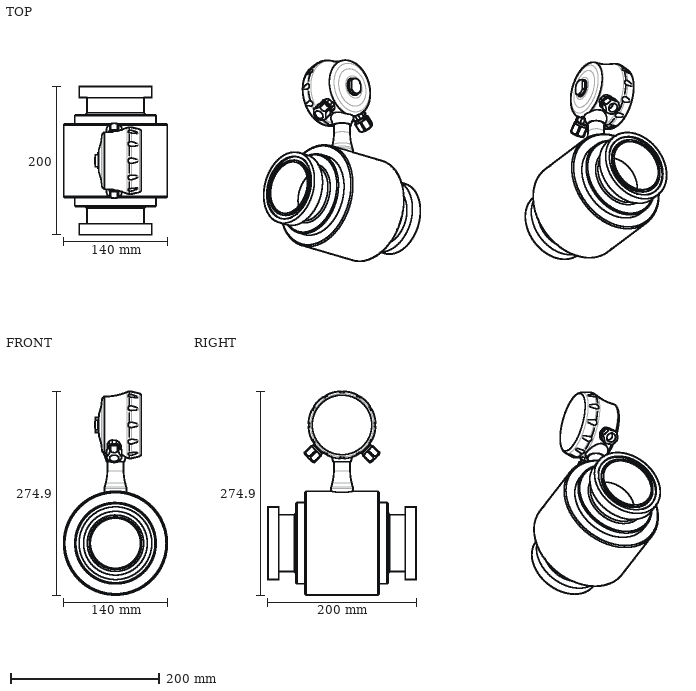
import cadquery as cq
import math

BODY_DIAMETER = 140.0
BODY_HALF_LENGTH = 50.0
BODY_CHAMFER = 2.0
SHOULDER_DIAMETER = 110.0
SHOULDER_END = 62.0
SHOULDER_CHAMFER = 1.6
NECK_DIAMETER = 77.0
NECK_FOOT_DIAMETER = 81.3
NECK_FOOT_LENGTH = 2.2
FLANGE_DIAMETER = 98.0
FLANGE_THICKNESS = 15.0
TUBE_LENGTH = 200.0

BORE_MOUTH_DIAMETER = 71.0
BORE_FLOOR_DIAMETER = 67.5
GROOVE_OUTER_DIAMETER = 86.0
GROOVE_INNER_DIAMETER = 76.0
GROOVE_DEPTH = 2.2

STEM_DIAMETER = 22.0
STEM_BASE_DIAMETER = 30.0
STEM_BASE_TOP = 74.0
STEM_CONE_BOTTOM = 76.5
STEM_CONE_TOP = 81.3
STEM_CONE_BOTTOM_DIAMETER = 28.9
STEM_CONE_TOP_DIAMETER = 26.5
STEM_WAIST_BOTTOM = 97.8
STEM_FLARE_BOTTOM = 109.5
STEM_FLARE_DIAMETER = 23.5
STEM_TOP = 123.6
STEM_TOP_DIAMETER = 33.5

HEAD_HEIGHT = 159.5
BACK_BOSS_X = -22.3
BACK_BOSS_DIAMETER = 30.8
BACK_CONE_X = -19.2
BACK_CONE_DIAMETER = 51.7
BACK_RIM_X = -18.5
BACK_RIM_DIAMETER = 67.0
SHELL_BAND_X = -14.8
SHELL_DIAMETER = 77.0
SHELL_FLARE_X = -13.5
SHELL_END_X = 15.5
SHELL_END_DIAMETER = 88.8
CAP_CREST_START_X = 18.7
CAP_CREST_END_X = 21.2
CAP_DIAMETER = 91.0
CAP_TAPER_END_X = 32.0
CAP_TAPER_END_DIAMETER = 85.2
CAP_FACE_X = 35.0
CAP_ROUND = 2.5

NOTCH_COUNT = 12
NOTCH_RADIUS = 7.5
NOTCH_START_X = 17.0
NOTCH_START_DIAMETER = 89.8
NOTCH_END_X = 31.5
NOTCH_END_DIAMETER = 85.5

KNOB_FOOT_DIAMETER = 23.5
KNOB_FOOT_X = -23.0
KNOB_FLATS_X = -23.5
KNOB_DIAMETER = 21.0
KNOB_FACE_X = -27.0
KNOB_TIP_X = -28.0
KNOB_FLATS = 16.8

GLAND_X = -1.6
GLAND_ANGLE = 45.0
GLAND_NUT_START = 30.2
GLAND_NUT_END = 45.0
GLAND_NUT_FLATS = 18.5
GLAND_NUT_DIAMETER = 19.2
GLAND_COLLAR_END = 46.2
GLAND_COLLAR_DIAMETER = 16.8
GLAND_NECK_DIAMETER = 16.0
GLAND_CAP_START = 49.2
GLAND_CAP_END = 63.5
GLAND_CAP_FLATS = 19.0
GLAND_CAP_DIAMETER = 21.0
GLAND_CAP_ROUND = 3.8
GLAND_HOLE_DIAMETER = 12.0


def flow_tube():
    half_length = TUBE_LENGTH / 2
    neck_radius = NECK_DIAMETER / 2
    flange_radius = FLANGE_DIAMETER / 2
    flange_start = half_length - FLANGE_THICKNESS
    body_radius = BODY_DIAMETER / 2
    shoulder_radius = SHOULDER_DIAMETER / 2
    half_outline = [
        (body_radius, BODY_HALF_LENGTH - BODY_CHAMFER),
        (body_radius - BODY_CHAMFER, BODY_HALF_LENGTH),
        (shoulder_radius, BODY_HALF_LENGTH),
        (shoulder_radius, SHOULDER_END - SHOULDER_CHAMFER),
        (shoulder_radius - SHOULDER_CHAMFER, SHOULDER_END),
        (NECK_FOOT_DIAMETER / 2, SHOULDER_END),
        (neck_radius, SHOULDER_END + NECK_FOOT_LENGTH),
        (neck_radius, flange_start),
        (flange_radius, flange_start),
        (flange_radius, half_length),
        (0, half_length),
    ]
    mirrored_outline = [(radius, -y) for radius, y in reversed(half_outline)]
    tube = (
        cq.Workplane("XY")
        .polyline(mirrored_outline + half_outline)
        .close()
        .revolve(360, (0, 0, 0), (0, 1, 0))
    )
    for cutter in (pipe_opening(), gasket_groove()):
        tube = tube.cut(cutter).cut(cutter.mirror("XZ"))
    return tube


def pipe_opening():
    """Blind bore tapering from the flange face down to the end of the main body."""
    half_length = TUBE_LENGTH / 2
    return (
        cq.Workplane("XY")
        .moveTo(0, BODY_HALF_LENGTH)
        .lineTo(BORE_FLOOR_DIAMETER / 2, BODY_HALF_LENGTH)
        .lineTo(BORE_MOUTH_DIAMETER / 2, half_length)
        .lineTo(0, half_length)
        .close()
        .revolve(360, (0, 0, 0), (0, 1, 0))
    )


def gasket_groove():
    return (
        cq.Workplane("XZ", origin=(0, TUBE_LENGTH / 2, 0))
        .circle(GROOVE_OUTER_DIAMETER / 2)
        .circle(GROOVE_INNER_DIAMETER / 2)
        .extrude(GROOVE_DEPTH)
    )


def stem():
    waist_radius = STEM_DIAMETER / 2
    base_radius = STEM_BASE_DIAMETER / 2
    cone_bottom = (STEM_CONE_BOTTOM_DIAMETER / 2, STEM_CONE_BOTTOM)
    cone_top = (STEM_CONE_TOP_DIAMETER / 2, STEM_CONE_TOP)
    start_height = BODY_DIAMETER / 2 - STEM_BASE_DIAMETER / 4
    return (
        cq.Workplane("XZ")
        .moveTo(0, start_height)
        .lineTo(base_radius, start_height)
        .lineTo(base_radius, STEM_BASE_TOP)
        .tangentArcPoint(cone_bottom, relative=False)
        .lineTo(*cone_top)
        .tangentArcPoint((waist_radius, STEM_WAIST_BOTTOM), relative=False)
        .lineTo(waist_radius, STEM_FLARE_BOTTOM)
        .lineTo(STEM_FLARE_DIAMETER / 2, STEM_FLARE_BOTTOM)
        .lineTo(STEM_TOP_DIAMETER / 2, STEM_TOP)
        .lineTo(0, STEM_TOP)
        .close()
        .revolve(360, (0, 0, 0), (0, 1, 0))
    )


def head():
    """Housing and screw cap, built about the X axis."""
    body = (
        cq.Workplane("XY")
        .moveTo(BACK_BOSS_X, 0)
        .lineTo(BACK_BOSS_X, BACK_BOSS_DIAMETER / 2)
        .lineTo(BACK_CONE_X, BACK_CONE_DIAMETER / 2)
        .lineTo(BACK_RIM_X, BACK_RIM_DIAMETER / 2)
        .tangentArcPoint((SHELL_BAND_X, SHELL_DIAMETER / 2), relative=False)
        .lineTo(SHELL_FLARE_X, SHELL_DIAMETER / 2)
        .tangentArcPoint((SHELL_END_X, SHELL_END_DIAMETER / 2), relative=False)
        .lineTo(CAP_CREST_START_X, CAP_DIAMETER / 2)
        .lineTo(CAP_CREST_END_X, CAP_DIAMETER / 2)
        .lineTo(CAP_TAPER_END_X, CAP_TAPER_END_DIAMETER / 2)
        .tangentArcPoint((CAP_FACE_X, CAP_TAPER_END_DIAMETER / 2 - CAP_ROUND), relative=False)
        .lineTo(CAP_FACE_X, 0)
        .close()
        .revolve(360, (0, 0, 0), (1, 0, 0))
    )
    notch = grip_notch()
    for index in range(NOTCH_COUNT):
        body = body.cut(notch.rotate((0, 0, 0), (1, 0, 0), index * 360 / NOTCH_COUNT))
    return body.union(knob())


def grip_notch():
    """Tilted cylinder that dips into the crest of the cap and runs out along its taper."""
    run = NOTCH_END_X - NOTCH_START_X
    drop = (NOTCH_START_DIAMETER - NOTCH_END_DIAMETER) / 2
    floor_direction = cq.Vector(run, -drop, 0).normalized()
    floor_normal = cq.Vector(drop, run, 0).normalized()
    overrun = floor_direction * NOTCH_RADIUS
    floor_start = cq.Vector(NOTCH_START_X, NOTCH_START_DIAMETER / 2, 0)
    axis_start = floor_start + floor_normal * NOTCH_RADIUS - overrun
    length = math.hypot(run, drop) + 2 * NOTCH_RADIUS
    return cq.Workplane(cq.Solid.makeCylinder(NOTCH_RADIUS, length, axis_start, floor_direction))


def knob():
    """Round knob with a conical foot, a shallow pointed face and two flats for a spanner."""
    body = (
        cq.Workplane("XY")
        .moveTo(BACK_CONE_X, 0)
        .lineTo(BACK_CONE_X, KNOB_FOOT_DIAMETER / 2)
        .lineTo(BACK_BOSS_X, KNOB_FOOT_DIAMETER / 2)
        .lineTo(KNOB_FOOT_X, KNOB_DIAMETER / 2)
        .lineTo(KNOB_FACE_X, KNOB_DIAMETER / 2)
        .lineTo(KNOB_TIP_X, 0)
        .close()
        .revolve(360, (0, 0, 0), (1, 0, 0))
    )
    grip_length = KNOB_FLATS_X - KNOB_TIP_X
    for side in (-1, 1):
        waste = cq.Workplane("XY").box(grip_length, KNOB_DIAMETER, KNOB_DIAMETER)
        waste = waste.translate(
            (KNOB_FLATS_X - grip_length / 2, side * (KNOB_FLATS + KNOB_DIAMETER) / 2, 0)
        )
        body = body.cut(waste)
    return body


def round_bar(start, end, diameter):
    return cq.Workplane("XY").workplane(offset=start).circle(diameter / 2).extrude(end - start)


def rounded_hexagon(start, end, flats, diameter, end_round=0):
    """Hexagon bar along Z with its corners turned down to the given diameter."""
    corner_diameter = flats / math.cos(math.radians(30))
    turned = round_bar(start, end, diameter)
    if end_round:
        turned = turned.faces(">Z").edges().fillet(end_round)
    plane = cq.Workplane("XY").workplane(offset=start)
    return plane.polygon(6, corner_diameter).extrude(end - start).intersect(turned)


def cable_gland():
    """Gland pointing along +Z, with the head axis at height zero."""
    nut = rounded_hexagon(GLAND_NUT_START, GLAND_NUT_END, GLAND_NUT_FLATS, GLAND_NUT_DIAMETER)
    collar = round_bar(GLAND_NUT_END, GLAND_COLLAR_END, GLAND_COLLAR_DIAMETER)
    neck = round_bar(GLAND_COLLAR_END, GLAND_CAP_START, GLAND_NECK_DIAMETER)
    cap = rounded_hexagon(
        GLAND_CAP_START, GLAND_CAP_END, GLAND_CAP_FLATS, GLAND_CAP_DIAMETER, GLAND_CAP_ROUND
    )
    hole = round_bar(GLAND_CAP_START, GLAND_CAP_END, GLAND_HOLE_DIAMETER)
    gland = nut.union(collar).union(neck).union(cap.cut(hole))
    return gland.translate((GLAND_X, 0, 0))


def transmitter():
    unit = head()
    gland = cable_gland()
    for side in (-1, 1):
        turn = side * (180 - GLAND_ANGLE)
        unit = unit.union(gland.rotate((0, 0, 0), (1, 0, 0), turn))
    return unit.translate((0, 0, HEAD_HEIGHT))


result = flow_tube().union(stem()).union(transmitter())